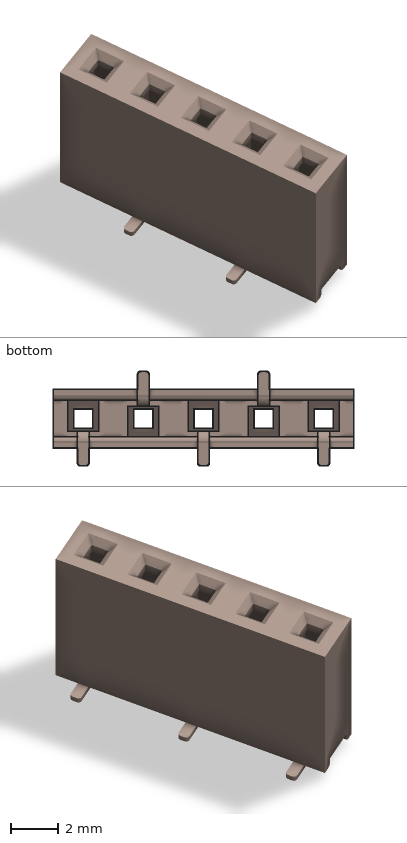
import cadquery as cq

position_count = 5
pitch = 2.54
body_length = position_count * pitch
body_width = 2.5
total_height = 7.5
tip_to_tip = 4.0

strip_thickness = 0.25
leg_width = 0.5
bend_inner_radius = 0.2
bend_outer_radius = bend_inner_radius + strip_thickness
tip_fillet = 0.15

standoff = 0.3
channel_width = 1.55
channel_ceiling = 0.75
rail_fillet = 0.2

funnel_mouth = 1.4
throat_side = 0.8
funnel_depth = (funnel_mouth - throat_side) / 2
throat_length = 0.4
cavity_length = 1.3
cavity_top = total_height - funnel_depth - throat_length

strip_back = channel_width / 2
strip_front = strip_back - strip_thickness


def make_body():
    """Rectangular housing with a full-length channel under it."""
    body = cq.Workplane("XY").box(
        body_length, body_width, total_height - standoff, centered=(True, True, False)
    ).translate((0, 0, standoff))
    channel = cq.Workplane("XY").box(
        body_length, channel_width, channel_ceiling - standoff, centered=(True, True, False)
    ).translate((0, 0, standoff))
    body = body.cut(channel)
    half_channel = channel_width / 2
    inner_rail_edges = cq.selectors.BoxSelector(
        (-body_length, -half_channel - rail_fillet, standoff - rail_fillet),
        (body_length, half_channel + rail_fillet, standoff + rail_fillet),
    )
    return body.edges("|X").edges(inner_rail_edges).fillet(rail_fillet)


def make_socket():
    """Volume removed from the body at one position."""
    funnel = (
        cq.Workplane("XY", origin=(0, 0, total_height - funnel_depth))
        .rect(throat_side, throat_side)
        .workplane(offset=funnel_depth)
        .rect(funnel_mouth, funnel_mouth)
        .loft(ruled=True)
    )
    throat = cq.Workplane("XY", origin=(0, 0, cavity_top)).rect(throat_side, throat_side)
    throat = throat.extrude(throat_length)
    cavity = cq.Workplane("XY", origin=(0, 0, channel_ceiling)).rect(cavity_length, channel_width)
    cavity = cavity.extrude(cavity_top - channel_ceiling)
    return funnel.union(throat).union(cavity)


def make_contact():
    """Flat strip on the +Y cavity wall with a leg bent outward to +Y."""
    strip = cq.Workplane("XY").box(
        cavity_length, strip_thickness, cavity_top - channel_ceiling, centered=(True, False, False)
    ).translate((0, strip_front, channel_ceiling))
    bend_center_y = strip_front + bend_outer_radius
    leg = (
        cq.Workplane("YZ", origin=(-leg_width / 2, 0, 0))
        .moveTo(strip_front, channel_ceiling)
        .lineTo(strip_front, bend_outer_radius)
        .radiusArc((bend_center_y, 0), -bend_outer_radius)
        .lineTo(tip_to_tip / 2, 0)
        .lineTo(tip_to_tip / 2, strip_thickness)
        .lineTo(bend_center_y, strip_thickness)
        .radiusArc((strip_back, bend_outer_radius), bend_inner_radius)
        .lineTo(strip_back, channel_ceiling)
        .close()
        .extrude(leg_width)
    )
    leg = leg.faces(">Y").edges("|Z").fillet(tip_fillet)
    return strip.union(leg)


result = make_body()
socket = make_socket()
contact = make_contact()
for position in range(position_count):
    x = (position - (position_count - 1) / 2) * pitch
    turn = 180 * (position % 2)
    result = result.cut(socket.translate((x, 0, 0)))
    placed_contact = contact.rotate((0, 0, 0), (0, 0, 1), turn).translate((x, 0, 0))
    result = result.union(placed_contact)